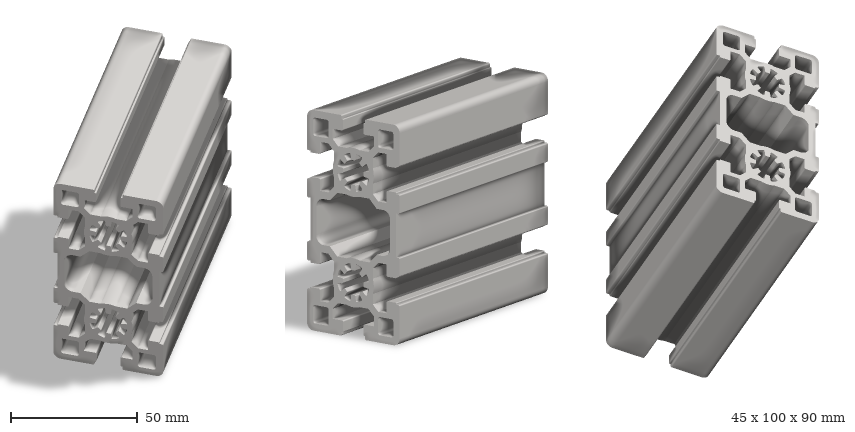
import cadquery as cq
import math

CELL = 45.0
LENGTH = 100.0
CORNER_RADIUS = 3.0
HALF_CELL = CELL / 2
HALF_HEIGHT = CELL

THROAT_HALF = 5.0
MOUTH_HALF = 5.75
MOUTH_DEPTH = 1.6
LIP_DEPTH = 6.25
SLOT_HALF = 10.0
SLOT_CHAMFER = 2.65
FLOOR_OFFSET = 9.5
CROWN_RADIUS = 10.0
LIP_RADIUS = 0.55
LIP_STEP_RADIUS = 0.3

BORE_RADIUS = 7.85
TOOTH_COUNT = 8
TOOTH_TIP_OFFSET = 5.0
TOOTH_TIP_HALF = 1.0
TOOTH_ROOT_HALF = 1.35
TOOTH_EDGE_RADIUS = 0.4

CHANNEL_SIZE = 7.5
CHANNEL_WALL = 3.0
CHANNEL_RADIUS = 1.0

RECESS_HALF = 9.0
CAVITY_HALF_WIDTH = 18.0
CAVITY_HALF_HEIGHT = 9.4
CAVITY_RADIUS = 3.5
CAVITY_END_HALF = 7.8
RECESS_EDGE_RADIUS = 0.4

EDGE_TOLERANCE = 0.01
CELL_CENTRES = (-HALF_CELL, HALF_CELL)
SIDES = (-1, 1)


def extrude_profile(sketch):
    """Extrude an XZ outline along the full length, centred on Y = 0."""
    return sketch.extrude(LENGTH / 2, both=True)


def profile_plane(x=0.0, z=0.0):
    return cq.Workplane("XZ", origin=(x, 0, z))


def round_long_edges(body, places, radius):
    """Fillet the lengthwise edges that run through the given (x, z) places."""
    def is_wanted(edge):
        centre = edge.Center()
        return any(math.hypot(centre.x - x, centre.z - z) < EDGE_TOLERANCE for x, z in places)

    return body.edges("|Y").filter(is_wanted).fillet(radius)


def make_slot(centre_z, angle):
    """T-slot cutter opening toward +Z of its cell, then turned about the cell centre."""
    mouth = HALF_CELL - MOUTH_DEPTH
    lip = HALF_CELL - LIP_DEPTH
    chamfer_top = FLOOR_OFFSET + SLOT_CHAMFER
    floor_half = SLOT_HALF - SLOT_CHAMFER
    crown_half = math.sqrt(CROWN_RADIUS**2 - FLOOR_OFFSET**2)
    outline = (
        profile_plane(z=centre_z)
        .moveTo(-MOUTH_HALF, HALF_CELL)
        .lineTo(-MOUTH_HALF, mouth)
        .lineTo(-THROAT_HALF, mouth)
        .lineTo(-THROAT_HALF, lip)
        .lineTo(-SLOT_HALF, lip)
        .lineTo(-SLOT_HALF, chamfer_top)
        .lineTo(-floor_half, FLOOR_OFFSET)
        .lineTo(-crown_half, FLOOR_OFFSET)
        .threePointArc((0, CROWN_RADIUS), (crown_half, FLOOR_OFFSET))
        .lineTo(floor_half, FLOOR_OFFSET)
        .lineTo(SLOT_HALF, chamfer_top)
        .lineTo(SLOT_HALF, lip)
        .lineTo(THROAT_HALF, lip)
        .lineTo(THROAT_HALF, mouth)
        .lineTo(MOUTH_HALF, mouth)
        .lineTo(MOUTH_HALF, HALF_CELL)
        .close()
    )
    return extrude_profile(outline).rotate((0, 0, centre_z), (0, 1, centre_z), angle)


def slot_edge_places(along, outward):
    """(x, z) of one slot edge, given by its distances in a cell, on both sides of every slot."""
    places = []
    for x_side in SIDES:
        for z_side in SIDES:
            places.append((x_side * along, z_side * (HALF_CELL + outward)))
            for centre_z in CELL_CENTRES:
                places.append((x_side * outward, centre_z + z_side * along))
    return places


def round_slot_lips(body):
    outer_edges = slot_edge_places(MOUTH_HALF, HALF_CELL)
    step_edges = slot_edge_places(THROAT_HALF, HALF_CELL - MOUTH_DEPTH)
    inner_edges = slot_edge_places(THROAT_HALF, HALF_CELL - LIP_DEPTH)
    body = round_long_edges(body, outer_edges + inner_edges, LIP_RADIUS)
    return round_long_edges(body, step_edges, LIP_STEP_RADIUS)


def make_bore(centre_z):
    """Round bore cutter with tapered teeth left standing around it."""
    bore = extrude_profile(profile_plane(z=centre_z).circle(BORE_RADIUS))
    root_offset = BORE_RADIUS + TOOTH_ROOT_HALF
    root_start = math.sqrt(BORE_RADIUS**2 - TOOTH_ROOT_HALF**2)
    tooth_outline = profile_plane(z=centre_z).polyline([
        (-TOOTH_TIP_HALF, TOOTH_TIP_OFFSET),
        (TOOTH_TIP_HALF, TOOTH_TIP_OFFSET),
        (TOOTH_ROOT_HALF, root_start),
        (TOOTH_ROOT_HALF, root_offset),
        (-TOOTH_ROOT_HALF, root_offset),
        (-TOOTH_ROOT_HALF, root_start),
    ]).close()
    tooth = extrude_profile(tooth_outline)
    for index in range(TOOTH_COUNT):
        angle = index * 360 / TOOTH_COUNT
        bore = bore.cut(tooth.rotate((0, 0, centre_z), (0, 1, centre_z), angle))
    return bore.edges("|Y").fillet(TOOTH_EDGE_RADIUS)


def make_corner_channel(x_side, z_side):
    inset = CHANNEL_WALL + CHANNEL_SIZE / 2
    plane = profile_plane(x_side * (HALF_CELL - inset), z_side * (HALF_HEIGHT - inset))
    channel = extrude_profile(plane.rect(CHANNEL_SIZE, CHANNEL_SIZE))
    return channel.edges("|Y").fillet(CHANNEL_RADIUS)


def make_cavity():
    """Central cavity: a rounded box that steps in toward the core of each cell."""
    box = extrude_profile(profile_plane().rect(2 * CAVITY_HALF_WIDTH, 2 * CAVITY_HALF_HEIGHT))
    box = box.edges("|Y").fillet(CAVITY_RADIUS)
    throat_end = HALF_CELL - FLOOR_OFFSET
    throat_base_half = CAVITY_END_HALF + throat_end - CAVITY_HALF_HEIGHT
    throat = extrude_profile(profile_plane().polyline([
        (-throat_base_half, -CAVITY_HALF_HEIGHT),
        (-CAVITY_END_HALF, -throat_end),
        (CAVITY_END_HALF, -throat_end),
        (throat_base_half, -CAVITY_HALF_HEIGHT),
        (throat_base_half, CAVITY_HALF_HEIGHT),
        (CAVITY_END_HALF, throat_end),
        (-CAVITY_END_HALF, throat_end),
        (-throat_base_half, CAVITY_HALF_HEIGHT),
    ]).close())
    cavity = box.union(throat)
    for centre_z in CELL_CENTRES:
        cavity = cavity.cut(extrude_profile(profile_plane(z=centre_z).circle(CROWN_RADIUS)))
    return cavity


def make_profile():
    body = extrude_profile(profile_plane().rect(CELL, 2 * HALF_HEIGHT))
    body = body.edges("|Y").fillet(CORNER_RADIUS)
    for centre_z in CELL_CENTRES:
        for side_angle in (-90, 90):
            body = body.cut(make_slot(centre_z, side_angle))
        body = body.cut(make_bore(centre_z))
    body = body.cut(make_slot(HALF_CELL, 0))
    body = body.cut(make_slot(-HALF_CELL, 180))
    for x_side in SIDES:
        recess_x = x_side * (HALF_CELL - MOUTH_DEPTH / 2)
        body = body.cut(extrude_profile(profile_plane(x=recess_x).rect(MOUTH_DEPTH, 2 * RECESS_HALF)))
        for z_side in SIDES:
            body = body.cut(make_corner_channel(x_side, z_side))
    body = body.cut(make_cavity())
    body = round_slot_lips(body)
    recess_edges = [(x_side * HALF_CELL, z_side * RECESS_HALF) for x_side in SIDES for z_side in SIDES]
    return round_long_edges(body, recess_edges, RECESS_EDGE_RADIUS)


result = make_profile()